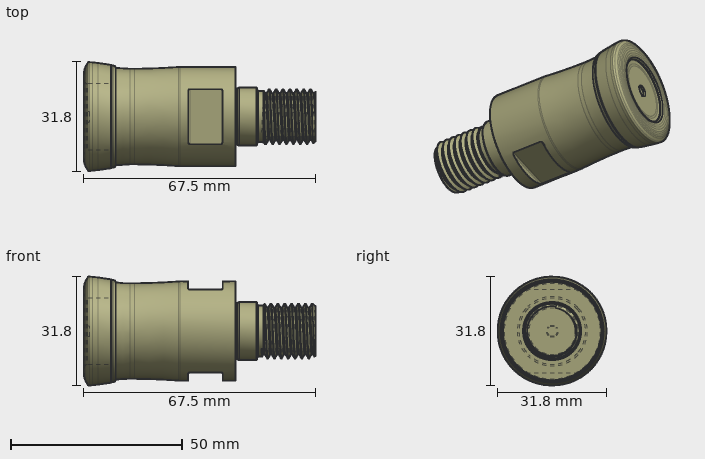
import cadquery as cq
import math


ring_outer_radius = 15.89
ring_bore_radius = 9.65
bore_mouth_x = 0.63
crown_radius = 12.2
inner_crown_arc_radius = 10.0
outer_crown_arc_radius = 5.6
crown_facet_radii = (10.15, 10.87, 11.5, crown_radius, 12.9, 13.4, 13.9, 14.32, 14.73, 15.54)
nose_middle = (1.25, 15.78)
nose_end_x = 1.63
flank_points = ((2.45, 15.82), (4.1, 15.64), (7.65, 15.12))
ring_back_x = 7.85
ring_back_radius = 15.06

disc_edge_x = bore_mouth_x + 0.25
disc_step_radius = 8.43
disc_step_x = disc_edge_x + 0.15
disc_flat_radius = 7.8
disc_flat_x = disc_step_x + 0.03
dimple_mouth_radius = 1.73
dimple_floor_radius = 1.45
dimple_depth = 0.5

seat_rim_points = ((8.15, 14.92), (8.55, 14.92))
seat_round_middle = (8.95, 14.75)
seat_round_end = (9.2, 14.5)
neck_top = (9.35, 14.2)
neck_radius = 13.95
neck_start_x = 13.45
neck_end_x = 14.65
body_radius = 14.5
flare_middle = (21.0, 14.09)
flare_end_x = 27.5
flare_end_radius = 14.46
body_start_x = 27.9
shoulder_x = 44.3
shoulder_chamfer = 0.2

flat_width = 24.2
flat_length = 10.0
flat_start_x = 30.4
flat_corner_radius = 0.4

overall_length = 67.45
pilot_radius = 8.5
pilot_end_x = 50.5
pilot_chamfer = 0.3
pilot_foot_radius = 8.25
pilot_foot_length = 0.4
pilot_foot_cone = 0.5
relief_radius = 14.9 / 2
relief_step_radius = 7.7
relief_start_x = 50.75
relief_end_x = 52.2
thread_radius = 8.0
thread_pitch = 2.0
thread_root_radius = 6.8
thread_crest_flat = 0.15
thread_root_flat = 0.4
thread_entry_chamfer = 0.9
thread_entry_drop = 0.8
groove_start_angle = 45.0
groove_start_x = 52.5 - thread_pitch * groove_start_angle / 360
groove_overshoot = 0.1
AXIS_START = (0, 0, 0)
AXIS_END = (1, 0, 0)


def turned(outline):
    """Revolve a closed (x, radius) outline about the X axis."""
    return outline.close().revolve(360, AXIS_START, AXIS_END)


def crown_point(radius):
    """Point of the crowned ring face at the given distance from the axis."""
    arc_radius = outer_crown_arc_radius if radius > crown_radius else inner_crown_arc_radius
    offset = radius - crown_radius
    return (arc_radius - math.sqrt(arc_radius**2 - offset**2), radius)


def make_cutting_ring():
    outline = cq.Workplane("XY").moveTo(ring_back_x, ring_bore_radius).lineTo(bore_mouth_x, ring_bore_radius)
    for facet_radius in crown_facet_radii:
        outline = outline.lineTo(*crown_point(facet_radius))
    outline = outline.threePointArc(nose_middle, (nose_end_x, ring_outer_radius))
    for flank_point in flank_points:
        outline = outline.lineTo(*flank_point)
    return turned(outline.lineTo(ring_back_x, ring_back_radius))


def make_turned_body():
    outline = (
        cq.Workplane("XY")
        .moveTo(disc_flat_x + dimple_depth, 0)
        .lineTo(disc_flat_x + dimple_depth, dimple_floor_radius)
        .lineTo(disc_flat_x, dimple_mouth_radius)
        .lineTo(disc_flat_x, disc_flat_radius)
        .lineTo(disc_step_x, disc_step_radius)
        .lineTo(disc_edge_x, ring_bore_radius)
        .lineTo(ring_back_x, ring_bore_radius)
        .lineTo(ring_back_x, ring_back_radius)
        .lineTo(*seat_rim_points[0])
        .lineTo(*seat_rim_points[1])
        .threePointArc(seat_round_middle, seat_round_end)
        .lineTo(*neck_top)
        .lineTo(neck_start_x, neck_radius)
        .lineTo(neck_end_x, neck_radius)
        .threePointArc(flare_middle, (flare_end_x, flare_end_radius))
        .lineTo(body_start_x, body_radius)
        .lineTo(shoulder_x - shoulder_chamfer, body_radius)
        .lineTo(shoulder_x, body_radius - shoulder_chamfer)
        .lineTo(shoulder_x, pilot_foot_radius)
        .lineTo(shoulder_x + pilot_foot_length, pilot_foot_radius)
        .lineTo(shoulder_x + pilot_foot_length + pilot_foot_cone, pilot_radius)
        .lineTo(pilot_end_x - pilot_chamfer, pilot_radius)
        .lineTo(pilot_end_x, pilot_radius - pilot_chamfer)
        .lineTo(pilot_end_x, relief_step_radius)
        .lineTo(relief_start_x, relief_radius)
        .lineTo(relief_start_x, 0)
    )
    return turned(outline)


def make_flat_cut(side):
    """Slot block that leaves a spanner flat on the +Z (side = 1) or -Z (side = -1) face."""
    return (
        cq.Workplane("XY")
        .box(flat_length, 4 * body_radius, body_radius, centered=(False, True, False))
        .edges("|Y and <Z")
        .fillet(flat_corner_radius)
        .translate((flat_start_x, 0, flat_width / 2))
        .rotate(AXIS_START, AXIS_END, 0 if side > 0 else 180)
    )


def make_thread_groove():
    """Right-hand V groove whose middle starts at groove_start_x, groove_start_angle before the bottom (-Z)."""
    height = overall_length - groove_start_x
    helix = cq.Wire.makeHelix(thread_pitch, height, thread_root_radius)
    mouth_radius = thread_radius + groove_overshoot
    slope = (thread_pitch - thread_crest_flat - thread_root_flat) / 2 / (thread_radius - thread_root_radius)
    mouth_half = thread_root_flat / 2 + slope * (mouth_radius - thread_root_radius)
    profile = (
        cq.Workplane("XZ")
        .polyline([
            (thread_root_radius, -thread_root_flat / 2),
            (mouth_radius, -mouth_half),
            (mouth_radius, mouth_half),
            (thread_root_radius, thread_root_flat / 2),
        ])
        .close()
    )
    groove = profile.sweep(cq.Workplane(obj=helix), isFrenet=True)
    return (
        groove.rotate((0, 0, 0), (0, 1, 0), 90)
        .rotate(AXIS_START, AXIS_END, -groove_start_angle)
        .translate((groove_start_x, 0, 0))
    )


def make_threaded_stud():
    """Threaded bar, trimmed to the outline with the relief and the tapered thread ends."""
    bar = (
        cq.Workplane("YZ", origin=(relief_start_x, 0, 0))
        .circle(thread_radius)
        .extrude(overall_length - relief_start_x)
    )
    envelope = turned(
        cq.Workplane("XY")
        .moveTo(relief_start_x, 0)
        .lineTo(relief_start_x, relief_radius)
        .lineTo(relief_end_x, relief_radius)
        .lineTo(relief_end_x + thread_radius - relief_radius, thread_radius)
        .lineTo(overall_length - thread_entry_chamfer, thread_radius)
        .lineTo(overall_length, thread_radius - thread_entry_drop)
        .lineTo(overall_length, 0)
    )
    return bar.cut(make_thread_groove()).intersect(envelope)


def make_holder():
    body = make_turned_body()
    for side in (1, -1):
        body = body.cut(make_flat_cut(side))
    return body.union(make_threaded_stud())


cutting_ring = make_cutting_ring()
holder = make_holder()
result = cq.Compound.makeCompound([cutting_ring.val(), holder.val()])